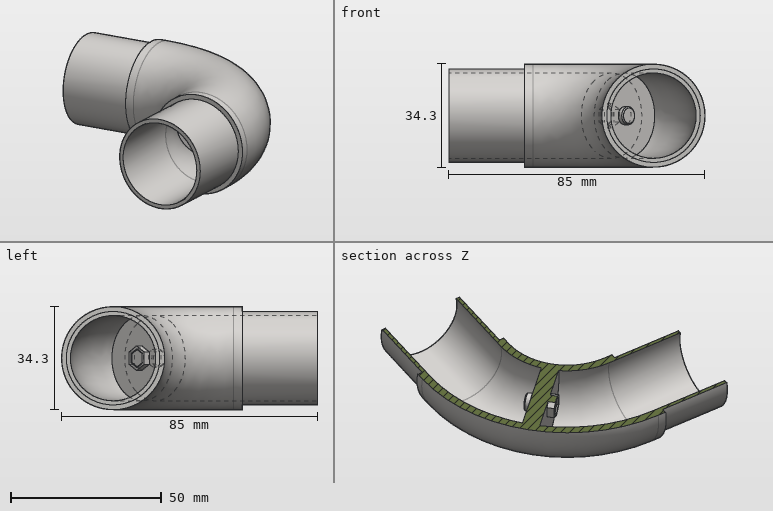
import cadquery as cq
import math

overall_length = 85.0
bend_outer_diameter = 34.25
spigot_diameter = 31.0
bore_diameter = 28.3
spigot_length = 25.0
collar_length = 3.0
partition_thickness = 6.0
bolt_diameter = 6.0
bolt_projection = 2.0
bolt_chamfer = 0.4
head_across_corners = 8.2
head_height = 2.5
socket_across_corners = 6.0
socket_depth = 0.5

half_length = overall_length / 2
centreline_place = half_length - bend_outer_diameter / 2
straight_length = spigot_length + collar_length
bend_centre = straight_length - half_length
bend_radius = centreline_place - bend_centre
middle_place = bend_centre + bend_radius * math.cos(math.radians(45))
bend_middle = cq.Vector(middle_place, middle_place, 0)
along_bend = cq.Vector(1, -1, 0).normalized()


def straight_rods(diameter, start, end):
    """Rods along both end axes, spanning `start` to `end` as measured in from each open end."""
    x_rod = (
        cq.Workplane("YZ", origin=(start - half_length, centreline_place, 0))
        .circle(diameter / 2)
        .extrude(end - start)
    )
    y_rod = (
        cq.Workplane("XZ", origin=(centreline_place, start - half_length, 0))
        .circle(diameter / 2)
        .extrude(start - end)
    )
    return x_rod.union(y_rod)


def bend_rod(diameter):
    """Quarter torus joining the two end axes."""
    return (
        cq.Workplane("XZ", origin=(bend_centre, bend_centre, 0))
        .center(bend_radius, 0)
        .circle(diameter / 2)
        .revolve(90, (-bend_radius, 0), (-bend_radius, 1))
    )


def partition_face(direction):
    """Workplane on one face of the partition, looking along (1) or against (-1) the bend."""
    normal = along_bend * direction
    centre = bend_middle + normal * (partition_thickness / 2)
    return cq.Workplane(cq.Plane(origin=centre, xDir=(0, 0, 1), normal=normal))


def bore():
    """Through bore, interrupted by the partition."""
    partition = (
        partition_face(1)
        .rect(bend_outer_diameter, bend_outer_diameter)
        .extrude(-partition_thickness)
    )
    return bend_rod(bore_diameter).cut(partition).union(straight_rods(bore_diameter, 0, straight_length))


def bolt_end():
    """Chamfered round end standing on the partition."""
    return (
        partition_face(1)
        .circle(bolt_diameter / 2)
        .extrude(bolt_projection)
        .faces(cq.selectors.DirectionMinMaxSelector(along_bend, True))
        .chamfer(bolt_chamfer)
    )


def bolt_head():
    """Hexagonal head with a shallow hexagonal recess."""
    head = partition_face(-1).polygon(6, head_across_corners).extrude(head_height)
    socket = (
        partition_face(-1)
        .workplane(offset=head_height)
        .polygon(6, socket_across_corners)
        .extrude(-socket_depth)
    )
    return head.cut(socket)


outside = (
    bend_rod(bend_outer_diameter)
    .union(straight_rods(bend_outer_diameter, spigot_length, straight_length))
    .union(straight_rods(spigot_diameter, 0, spigot_length))
)
result = outside.cut(bore()).union(bolt_end()).union(bolt_head())